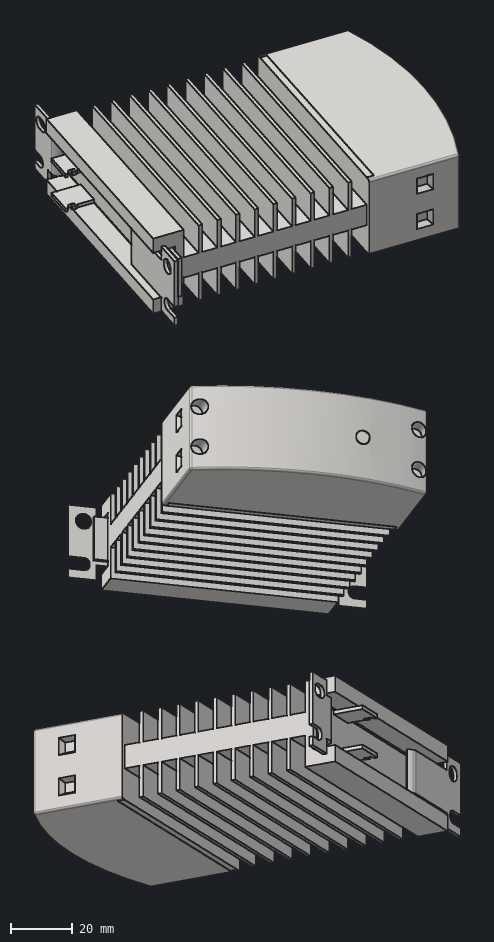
import cadquery as cq
import math


total_depth = 123.3
total_width = 101.7
height = 30.0
sheet = 1.4

sink_width = 77.5
block_front = 4.0
block_back = 15.2
channel_floor = 12.1
channel_height = 18.5
core_height = 8.1
core_end = 82.4
fin_count = 9
fin_pitch = (core_end - block_back + sheet) / (fin_count + 1)
fin_gap = fin_pitch - sheet
end_slab = 2.6
slab_step = 0.06

housing_width = 81.0
housing_height = height - 2 * slab_step
housing_front = core_end
crown_rise = 7.6
housing_rounding = 0.7
corner_rounding = 1.0
terminal_z = 7.0
wire_entry_y = 103.0
wire_entry_size = 6.0
wire_entry_taper = 1.2
wire_entry_depth = 2.1
screw_hole_x = 37.4
screw_hole_diameter = 5.3
screw_hole_floor = 110.7
lamp_x = -16.6
lamp_diameter = 4.7
lamp_top = 122.4

plate_front = 5.7
plate_back = plate_front + sheet
strip_height = 15.0
strip_end = 43.4
ear_end = total_width / 2
ear_inner = 41.3
ear_height = 25.6
bend_start = -sink_width / 2
bend_tight = 0.4
bend_wide = 1.2
mount_z = strip_height / 2
mount_slot_width = 4.3
left_hole_x = -46.2
left_hole_length = 6.4
left_slot_x = -46.8
right_hole_x = 45.6
right_hole_diameter = 5.2
right_slot_x = right_hole_x

hook_left = -27.2
hook_edge = -17.5
hook_notch = -18.6
hook_tip = -17.0
hook_slit = 0.43
hook_lip = 0.9
notch_low = 1.7
tooth_bottom = 2.3
notch_high = 2.7
tooth_shoulder = 3.7
slit_end = 4.0
tooth_root = 4.8
tooth_point = -17.6

lip_start = 20.0
lip_radius = 1.8
lip_flat = 1.2
lip_angle = math.radians(45)


def box(x_range, y_range, z_height):
    """Block between two X and two Y values, centred on Z = 0."""
    x_size = x_range[1] - x_range[0]
    y_size = y_range[1] - y_range[0]
    return cq.Workplane().box(x_size, y_size, z_height, centered=(False, False, True)).translate(
        (x_range[0], y_range[0], 0)
    )


def make_heat_sink():
    half = sink_width / 2
    sink = box((-half, half), (block_front, block_back), height)
    sink = sink.cut(box((-half, half), (block_front, channel_floor), channel_height))
    sink = sink.union(box((-half, half), (block_back, core_end), core_height))
    for i in range(fin_count):
        fin_y = block_back + fin_gap + i * fin_pitch
        sink = sink.union(box((-half, half), (fin_y, fin_y + sheet), height))
    return sink.union(box((-half, half), (core_end, core_end + end_slab), height))


def make_wire_entry(side, z):
    """Square funnel sunk into the left (-1) or right (+1) end of the housing."""
    inner_size = wire_entry_size - 2 * wire_entry_taper
    return (
        cq.Workplane("YZ", origin=(side * housing_width / 2, wire_entry_y, z))
        .rect(wire_entry_size, wire_entry_size)
        .workplane(offset=-side * wire_entry_depth)
        .rect(inner_size, inner_size)
        .loft(ruled=True)
    )


def cylinder_along_y(x, z, diameter, y_start, y_end):
    return cq.Workplane("XZ", origin=(x, y_start, z)).circle(diameter / 2).extrude(y_start - y_end)


def make_housing():
    half = housing_width / 2
    shoulder = total_depth - crown_rise
    housing = (
        cq.Workplane()
        .moveTo(-half, housing_front)
        .lineTo(half, housing_front)
        .lineTo(half, shoulder)
        .threePointArc((0, total_depth), (-half, shoulder))
        .close()
        .extrude(housing_height / 2, both=True)
        .edges("|Z and (not <Y)")
        .fillet(corner_rounding)
        .edges("(>Z or <Z) and (not <Y)")
        .fillet(housing_rounding)
    )
    for side in (-1, 1):
        for z in (-terminal_z, terminal_z):
            housing = housing.cut(make_wire_entry(side, z))
            housing = housing.cut(
                cylinder_along_y(side * screw_hole_x, z, screw_hole_diameter, screw_hole_floor, total_depth)
            )
    return housing.union(cylinder_along_y(lamp_x, 0, lamp_diameter, screw_hole_floor, lamp_top))


def make_strip():
    """Strip on the channel floor with a rounded step forward to the left ear."""
    tight_outer = bend_tight + sheet
    wide_outer = bend_wide + sheet
    strip_front = channel_floor - sheet
    step_back = bend_start + bend_wide
    step_front = step_back + sheet
    return (
        cq.Workplane()
        .moveTo(-ear_end, plate_front)
        .lineTo(bend_start, plate_front)
        .radiusArc((step_front, plate_front + wide_outer), -wide_outer)
        .lineTo(step_front, strip_front - bend_tight)
        .radiusArc((step_front + bend_tight, strip_front), bend_tight)
        .lineTo(strip_end, strip_front)
        .lineTo(strip_end, channel_floor)
        .lineTo(step_back + tight_outer, channel_floor)
        .radiusArc((step_back, channel_floor - tight_outer), -tight_outer)
        .lineTo(step_back, plate_back + bend_wide)
        .radiusArc((bend_start, plate_back), bend_wide)
        .lineTo(-ear_end, plate_back)
        .close()
        .extrude(strip_height / 2, both=True)
    )


def make_open_slot(center_x, side):
    """Round-ended slot cutter that runs out through the end of an ear."""
    round_end = cylinder_along_y(center_x, -mount_z, mount_slot_width, plate_front, plate_back)
    x_range = sorted((center_x, side * ear_end))
    straight = box(x_range, (plate_front, plate_back), mount_slot_width).translate((0, 0, -mount_z))
    return round_end.union(straight)


def make_hook(z_bottom):
    """Flat tab standing on the strip, notched at its right edge to grip a rail."""
    slit_right = hook_notch + hook_slit
    outline = [
        (hook_left, channel_floor),
        (hook_left, 0),
        (hook_tip, 0),
        (hook_tip, hook_lip),
        (hook_notch, notch_low),
        (hook_notch, slit_end),
        (slit_right, slit_end),
        (slit_right, notch_high),
        (tooth_point, tooth_bottom),
        (hook_tip, notch_high),
        (hook_tip, tooth_shoulder),
        (hook_edge, tooth_root),
        (hook_edge, channel_floor),
    ]
    return cq.Workplane(origin=(0, 0, z_bottom)).polyline(outline).close().extrude(sheet)


def make_bracket():
    bracket = make_strip()
    bracket = bracket.union(box((-ear_end, -ear_inner), (plate_front, plate_back), ear_height))
    hole = (
        cq.Workplane("XZ", origin=(left_hole_x, plate_front, mount_z))
        .slot2D(left_hole_length, mount_slot_width)
        .extrude(-sheet)
    )
    bracket = bracket.cut(hole).cut(make_open_slot(left_slot_x, -1))
    for z_bottom in (-strip_height / 2, strip_height / 2 - sheet):
        bracket = bracket.union(make_hook(z_bottom))
    return bracket


def make_catch_plate():
    inner_radius = lip_radius - sheet
    center_y = plate_front + lip_radius
    sin_lip = math.sin(lip_angle)
    cos_lip = math.cos(lip_angle)
    sin_half = math.sin(lip_angle / 2)
    cos_half = math.cos(lip_angle / 2)

    def on_bend(radius, sine, cosine):
        """Point on a bend surface, turned back from the flat plate by the given angle."""
        return (lip_start - radius * sine, center_y - radius * cosine)

    outer_end = on_bend(lip_radius, sin_lip, cos_lip)
    inner_end = on_bend(inner_radius, sin_lip, cos_lip)
    lip_rise = lip_flat * math.tan(lip_angle)
    plate = (
        cq.Workplane()
        .moveTo(ear_end, plate_front)
        .lineTo(lip_start, plate_front)
        .threePointArc(on_bend(lip_radius, sin_half, cos_half), outer_end)
        .lineTo(outer_end[0] - lip_flat, outer_end[1] + lip_rise)
        .lineTo(inner_end[0] - lip_flat, inner_end[1] + lip_rise)
        .lineTo(*inner_end)
        .threePointArc(on_bend(inner_radius, sin_half, cos_half), (lip_start, plate_back))
        .lineTo(ear_end, plate_back)
        .close()
        .extrude(strip_height / 2, both=True)
    )
    plate = plate.union(box((ear_inner, ear_end), (plate_front, plate_back), ear_height))
    hole = cylinder_along_y(right_hole_x, mount_z, right_hole_diameter, plate_front, plate_back)
    return plate.cut(hole).cut(make_open_slot(right_slot_x, 1))


relay_unit = make_housing().union(make_heat_sink()).union(make_bracket())
catch_plate = make_catch_plate()

result = cq.Compound.makeCompound([relay_unit.val(), catch_plate.val()])